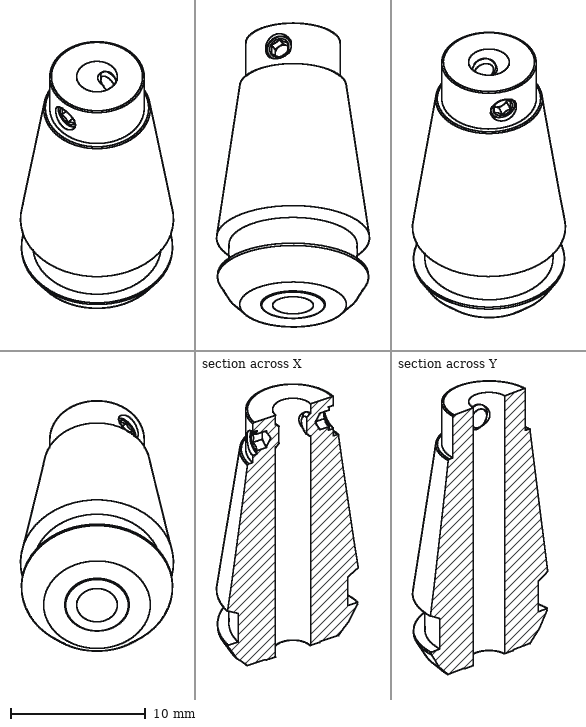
import cadquery as cq
import math

height = 21.5
body_radius = 5.68
bore_radius = 1.5
taper_slope = math.tan(math.radians(30))

neck_radius = 3.5
neck_length = 3.53
edge_chamfer = 0.13
edge_chamfer_height = 0.06

body_top_radius = 3.95
body_base_z = 5.5
undercut_slope = taper_slope

groove_radius = 4.75
flange_diameter = 11.2
flange_radius = flange_diameter / 2
flange_top_z = 2.47
flange_rim = 0.2
flange_knee_z = 1.0
flange_foot_radius = body_top_radius
flange_slope = taper_slope

spigot_radius = 2.39
spigot_height = 0.06

screw_radius = 1.0
screw_z = 19.63
screw_head_y = 3.15
screw_rim_chamfer = 0.09
screw_tip_y = 1.18
screw_tip_radius = 0.75
screw_tip_length = 0.25
socket_flats = 1.25
socket_depth = 0.85
socket_corner_radius = socket_flats / math.sqrt(3)
socket_cone_height = 0.37
socket_chamfer = 0.032


def revolved(plane, outline):
    """Revolve an outline of (radius, height) points about the vertical axis of a plane."""
    return cq.Workplane(plane).polyline(outline).close().revolve(360, (0, 0), (0, 1))


def turned_body():
    """Solid of revolution about Z, without the bore."""
    shoulder_z = height - neck_length
    groove_top_z = body_base_z - (body_radius - groove_radius) * undercut_slope
    rim_base_z = flange_top_z - flange_rim
    knee_radius = flange_radius - (rim_base_z - flange_knee_z) * flange_slope
    outline = [
        (0, 0),
        (spigot_radius - spigot_height, 0),
        (spigot_radius, spigot_height),
        (flange_foot_radius, spigot_height),
        (knee_radius, flange_knee_z),
        (flange_radius, rim_base_z),
        (flange_radius, flange_top_z),
        (groove_radius, flange_top_z),
        (groove_radius, groove_top_z),
        (body_radius, body_base_z),
        (body_top_radius, shoulder_z - edge_chamfer_height),
        (body_top_radius - edge_chamfer, shoulder_z),
        (neck_radius, shoulder_z),
        (neck_radius, height - edge_chamfer_height),
        (neck_radius - edge_chamfer, height),
        (0, height),
    ]
    return revolved("XZ", outline)


def set_screw():
    """Set screw on the -Y side, along Y at z = 0, with a hex socket and a chamfered tip."""
    shank = revolved("XY", [
        (0, -screw_head_y),
        (screw_radius - screw_rim_chamfer, -screw_head_y),
        (screw_radius, -screw_head_y + screw_rim_chamfer),
        (screw_radius, -screw_tip_y - screw_tip_length),
        (screw_tip_radius, -screw_tip_y),
        (0, -screw_tip_y),
    ])
    socket_floor_y = -screw_head_y + socket_depth
    hexagon = (
        cq.Workplane("XZ", origin=(0, -screw_head_y, 0))
        .polygon(6, 2 * socket_corner_radius)
        .extrude(-socket_depth)
        .rotate((0, 0, 0), (0, 1, 0), 90)
    )
    drill_point = revolved("XY", [
        (0, socket_floor_y),
        (socket_flats / 2, socket_floor_y),
        (0, socket_floor_y + socket_cone_height),
    ])
    lead_in_radius = socket_corner_radius + socket_chamfer
    lead_in = revolved("XY", [
        (0, -screw_head_y),
        (lead_in_radius, -screw_head_y),
        (0, -screw_head_y + lead_in_radius),
    ])
    return shank.cut(hexagon).cut(drill_point).cut(lead_in)


bore = cq.Workplane("XY").circle(bore_radius).extrude(height)
cross_hole = (
    cq.Workplane("XZ", origin=(0, 0, screw_z))
    .circle(screw_radius)
    .extrude(body_radius, both=True)
)
result = turned_body().cut(bore).cut(cross_hole)

front_screw = set_screw().translate((0, 0, screw_z))
for screw in (front_screw, front_screw.mirror("XZ")):
    result = result.union(screw)